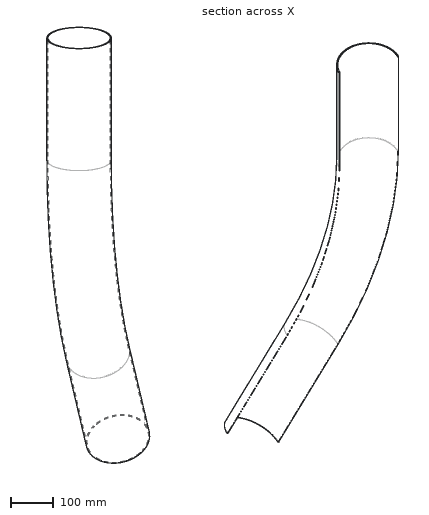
import cadquery as cq
import math

outer_diameter = 152.4
inner_diameter = 146.3
straight_length = 304.8
bend_radius = 7 * outer_diameter
bend_angle = 30.0


def bend_point(angle_degrees):
    """Centreline point (Y, Z) after turning through the angle from the top of the bend."""
    angle = math.radians(angle_degrees)
    return (bend_radius * (1 - math.cos(angle)), -bend_radius * math.sin(angle))


bend_end_y, bend_end_z = bend_point(bend_angle)
lower_end = (
    bend_end_y + straight_length * math.sin(math.radians(bend_angle)),
    bend_end_z - straight_length * math.cos(math.radians(bend_angle)),
)
centreline = (
    cq.Workplane("YZ")
    .moveTo(0, straight_length)
    .lineTo(0, 0)
    .threePointArc(bend_point(bend_angle / 2), (bend_end_y, bend_end_z))
    .lineTo(*lower_end)
)

result = (
    cq.Workplane("XY")
    .workplane(offset=straight_length)
    .circle(outer_diameter / 2)
    .circle(inner_diameter / 2)
    .sweep(centreline)
)